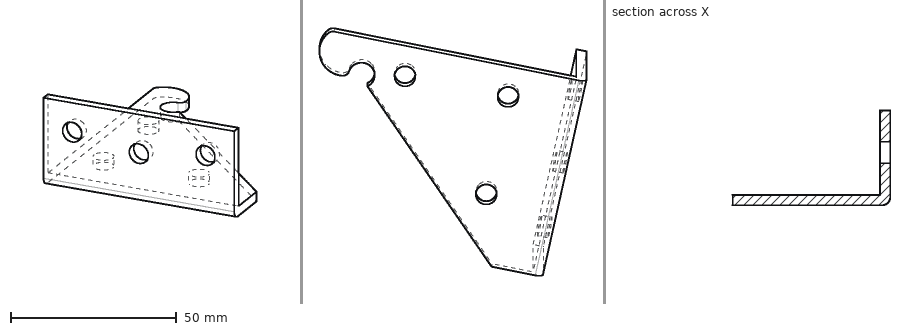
import cadquery as cq
import math

width = 63.5
length = 81.0
flange_height = 28.6
thickness = 3.15
bend_radius = 2.5

right_edge_length = 15.9

head_radius = 7.8
head_x = 5.6
head_y = length - head_radius
notch_radius = 4.0
notch_x = 11.9
notch_y = 66.8
tip_radius = 2.0
head_corner_radius = 2.0

hole_diameter = 6.3
hole_inset = 9.55
base_hole_y = 22.2
base_hole_pitch = 31.7
flange_side_hole_z = 19.0
flange_middle_hole_z = 15.9


def point_on_circle(center, radius, angle):
    return (center[0] + radius * math.cos(angle), center[1] + radius * math.sin(angle))


def direction(start, end):
    return math.atan2(end[1] - start[1], end[0] - start[0])


def make_base():
    head = (head_x, head_y)
    notch = (notch_x, notch_y)

    tip_to_head = head_radius - tip_radius
    tip_to_notch = notch_radius + tip_radius
    head_to_notch = math.dist(head, notch)
    cosine = (tip_to_head**2 + head_to_notch**2 - tip_to_notch**2) / (2 * tip_to_head * head_to_notch)
    tip_angle = direction(head, notch) + math.acos(cosine)
    tip = point_on_circle(head, tip_to_head, tip_angle)

    head_start_angle = math.pi - math.acos(head_x / head_radius)
    head_start = point_on_circle(head, head_radius, head_start_angle)
    head_middle = point_on_circle(head, head_radius, (head_start_angle + tip_angle) / 2)
    head_end = point_on_circle(head, head_radius, tip_angle)
    notch_start_angle = direction(notch, tip)
    notch_start = point_on_circle(notch, notch_radius, notch_start_angle)
    tip_end_angle = direction(tip, notch)
    tip_middle = point_on_circle(tip, tip_radius, (tip_angle + tip_end_angle) / 2)

    slope_offset = (width + right_edge_length - notch_x - notch_y) / math.sqrt(2)
    notch_end_angle = math.pi / 4 - math.acos(slope_offset / notch_radius)
    notch_end = point_on_circle(notch, notch_radius, notch_end_angle)
    notch_middle_angle = (notch_start_angle + notch_end_angle + 2 * math.pi) / 2
    notch_middle = point_on_circle(notch, notch_radius, notch_middle_angle)

    return (
        cq.Workplane("XY")
        .lineTo(*head_start)
        .threePointArc(head_middle, head_end)
        .threePointArc(tip_middle, notch_start)
        .threePointArc(notch_middle, notch_end)
        .lineTo(width, right_edge_length)
        .lineTo(width, 0)
        .close()
        .extrude(thickness)
    )


def make_flange():
    return cq.Workplane("XY").box(width, thickness, flange_height, centered=False)


def make_base_holes():
    far_x = hole_inset + base_hole_pitch
    far_y = base_hole_y + base_hole_pitch
    centers = [(hole_inset, base_hole_y), (far_x, base_hole_y), (hole_inset, far_y)]
    return cq.Workplane("XY").pushPoints(centers).circle(hole_diameter / 2).extrude(thickness)


def make_flange_holes():
    centers = [
        (hole_inset, flange_side_hole_z),
        (width / 2, flange_middle_hole_z),
        (width - hole_inset, flange_side_hole_z),
    ]
    return cq.Workplane("XZ").pushPoints(centers).circle(hole_diameter / 2).extrude(-thickness)


bracket = make_base().union(make_flange())

bracket = bracket.edges("|X and <Y and <Z").fillet(bend_radius)

bracket = bracket.edges("|Z").edges("<X").edges(">Y").fillet(head_corner_radius)

result = bracket.cut(make_base_holes()).cut(make_flange_holes())